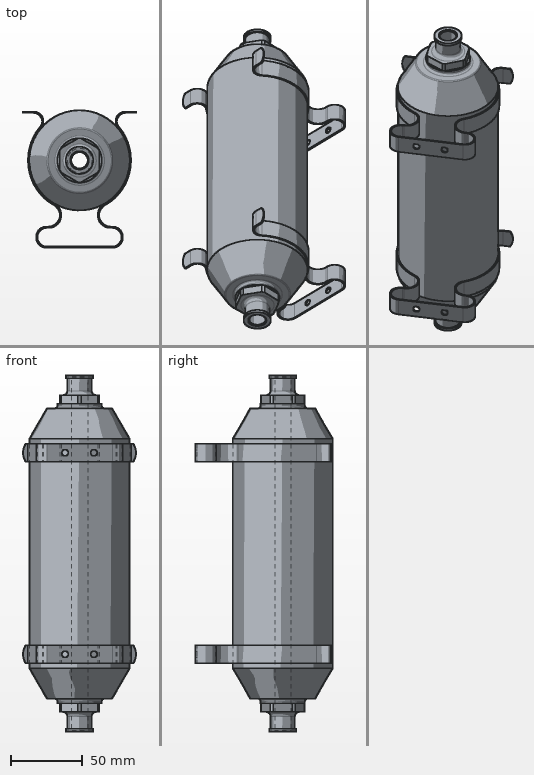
import cadquery as cq
import math

LENGTH = 248.0
BODY_DIAMETER = 70.0
SHOULDER_DEPTH = 44.1
CONE_TOP_DEPTH = 22.8
CONE_ANGLE = 30.0
CONE_RIM_FILLET = 1.0

COLLAR_DIAMETER = 31.0
COLLAR_FILLET = 1.7
NUT_BOTTOM_DEPTH = 19.5
NUT_TOP_DEPTH = 13.6
NUT_ACROSS_FLATS = 27.5
NUT_ACROSS_CORNERS = 30.5
NECK_DIAMETER = 17.0
NECK_FILLET = 3.0
LIP_DIAMETER = 19.0
LIP_THICKNESS = 2.0
BORE_DIAMETER = 11.5
BORE_CHAMFER = 0.7

STRIP_THICKNESS = 1.0
STRIP_WIDTH = 12.6
CLIP_SPACING = 140.4
CLIP_SPAN = 78.9
EAR_TIP_BULGE = 2.0
EAR_Y = 33.5
EAR_BEND_RADIUS = 6.5
FOOT_TOP_Y = -46.5
BASE_DISTANCE = 61.0
FOOT_BEND_RADIUS = 8.5
BASE_HALF_LENGTH = 22.8
SCREW_HOLE_DIAMETER = 4.5
SCREW_HOLE_SPACING = 20.0

END_Z = LENGTH / 2
BODY_RADIUS = BODY_DIAMETER / 2
GRIP_RADIUS = BODY_RADIUS + STRIP_THICKNESS / 2
FOOT_BOTTOM_Y = STRIP_THICKNESS / 2 - BASE_DISTANCE


def make_tank():
    """Cylinder with a truncated cone on each end and a small fillet on each cone rim."""
    shoulder_z = END_Z - SHOULDER_DEPTH
    cone_top_z = END_Z - CONE_TOP_DEPTH
    cone_height = cone_top_z - shoulder_z
    cone_top_radius = BODY_RADIUS - cone_height * math.tan(math.radians(CONE_ANGLE))
    tank = (
        cq.Workplane("XZ")
        .moveTo(0, -cone_top_z)
        .lineTo(cone_top_radius, -cone_top_z)
        .lineTo(BODY_RADIUS, -shoulder_z)
        .lineTo(BODY_RADIUS, shoulder_z)
        .lineTo(cone_top_radius, cone_top_z)
        .lineTo(0, cone_top_z)
        .close()
        .revolve(360, (0, 0, 0), (0, 1, 0))
    )
    return tank.faces("<Z or >Z").edges().fillet(CONE_RIM_FILLET)


def make_post(radius, base_z, top_z, root_fillet):
    """Round post standing on base_z, with a concave fillet around its root."""
    fillet_middle = root_fillet * (1 - math.sqrt(0.5))
    return (
        cq.Workplane("XZ")
        .moveTo(0, base_z)
        .lineTo(radius + root_fillet, base_z)
        .threePointArc(
            (radius + fillet_middle, base_z + fillet_middle),
            (radius, base_z + root_fillet),
        )
        .lineTo(radius, top_z)
        .lineTo(0, top_z)
        .close()
        .revolve(360, (0, 0, 0), (0, 1, 0))
    )


def make_hexagon(across_flats, base_z, height, turn):
    """Hexagonal prism; with a turn of zero its corners point along X."""
    corner_diameter = across_flats / math.cos(math.pi / 6)
    prism = cq.Workplane("XY").workplane(offset=base_z).polygon(6, corner_diameter).extrude(height)
    return prism.rotate((0, 0, 0), (0, 0, 1), turn)


def make_top_port():
    """Collar, nut with blunted corners, neck and lip, stacked on the upper cone."""
    cone_top_z = END_Z - CONE_TOP_DEPTH
    nut_bottom_z = END_Z - NUT_BOTTOM_DEPTH
    nut_top_z = END_Z - NUT_TOP_DEPTH
    nut_height = nut_top_z - nut_bottom_z
    collar = make_post(COLLAR_DIAMETER / 2, cone_top_z, nut_bottom_z, COLLAR_FILLET)
    nut = make_hexagon(NUT_ACROSS_FLATS, nut_bottom_z, nut_height, 30)
    nut = nut.intersect(make_hexagon(NUT_ACROSS_CORNERS, nut_bottom_z, nut_height, 0))
    neck = make_post(NECK_DIAMETER / 2, nut_top_z, END_Z, NECK_FILLET)
    lip = (
        cq.Workplane("XY")
        .workplane(offset=END_Z - LIP_THICKNESS)
        .circle(LIP_DIAMETER / 2)
        .extrude(LIP_THICKNESS)
    )
    return collar.union(nut).union(neck).union(lip)


def make_vessel():
    """Tank with a port on each end and one bore running through everything."""
    top_port = make_top_port()
    vessel = make_tank().union(top_port).union(top_port.mirror("XY"))
    vessel = vessel.faces(">Z").workplane().hole(BORE_DIAMETER)
    bore_rims = vessel.faces("<Z or >Z").edges(cq.selectors.RadiusNthSelector(0))
    return bore_rims.chamfer(BORE_CHAMFER)


def make_bend(level_y, radius):
    """Bend tangent to the grip arc and to a level line at level_y, on the +X side.

    Returns its start on the grip arc, a middle point and its end on the level line.
    """
    side = math.copysign(1, level_y)
    centre_y = level_y - side * radius
    centre_x = math.sqrt((GRIP_RADIUS + radius) ** 2 - centre_y**2)
    to_axis = math.atan2(-centre_y, -centre_x) % (2 * math.pi)
    to_level = math.pi * (1 - side / 2)
    middle_angle = (to_axis + to_level) / 2
    start, middle, end = [
        (centre_x + radius * math.cos(angle), centre_y + radius * math.sin(angle))
        for angle in (to_axis, middle_angle, to_level)
    ]
    return start, middle, end


def make_half_clip():
    """The +X half of the strip, from the middle of its base to the tip of its ear."""
    foot_start, foot_middle, foot_end = make_bend(FOOT_TOP_Y, FOOT_BEND_RADIUS)
    ear_start, ear_middle, ear_end = make_bend(EAR_Y, EAR_BEND_RADIUS)
    loop_radius = (FOOT_TOP_Y - FOOT_BOTTOM_Y) / 2
    loop_middle = (BASE_HALF_LENGTH + loop_radius, FOOT_BOTTOM_Y + loop_radius)
    path = (
        cq.Workplane("XY")
        .moveTo(0, FOOT_BOTTOM_Y)
        .lineTo(BASE_HALF_LENGTH, FOOT_BOTTOM_Y)
        .threePointArc(loop_middle, (BASE_HALF_LENGTH, FOOT_TOP_Y))
        .lineTo(*foot_end)
        .threePointArc(foot_middle, foot_start)
        .threePointArc((GRIP_RADIUS, 0), ear_start)
        .threePointArc(ear_middle, ear_end)
        .lineTo(CLIP_SPAN / 2, EAR_Y)
    )
    section = (
        cq.Workplane("YZ")
        .center(FOOT_BOTTOM_Y, 0)
        .rect(STRIP_THICKNESS, STRIP_WIDTH)
    )
    return section.sweep(path)


def make_ear_outline():
    """Block around the whole clip whose two X ends are rounded like the ear tips."""
    tip_x = CLIP_SPAN / 2
    corner_x = tip_x - EAR_TIP_BULGE
    half_width = STRIP_WIDTH / 2
    return (
        cq.Workplane("XZ")
        .moveTo(-corner_x, -half_width)
        .lineTo(corner_x, -half_width)
        .threePointArc((tip_x, 0), (corner_x, half_width))
        .lineTo(-corner_x, half_width)
        .threePointArc((-tip_x, 0), (-corner_x, -half_width))
        .close()
        .extrude(CLIP_SPAN, both=True)
    )


def make_clip(middle_z):
    """Spring clip that grips the vessel, with two screw holes through its base."""
    half_clip = make_half_clip()
    clip = half_clip.union(half_clip.mirror("YZ")).intersect(make_ear_outline())
    screw_holes = (
        cq.Workplane("XZ", origin=(0, FOOT_BOTTOM_Y, 0))
        .rarray(SCREW_HOLE_SPACING, 2.5, 2, 1)
        .circle(SCREW_HOLE_DIAMETER / 2)
        .extrude(STRIP_THICKNESS, both=True)
    )
    return clip.cut(screw_holes).translate((0, 0, middle_z))


vessel = make_vessel()
clips = [make_clip(middle_z) for middle_z in (-CLIP_SPACING / 2, CLIP_SPACING / 2)]
bodies = [vessel, *clips]

result = cq.Compound.makeCompound([body.solids().val() for body in bodies])